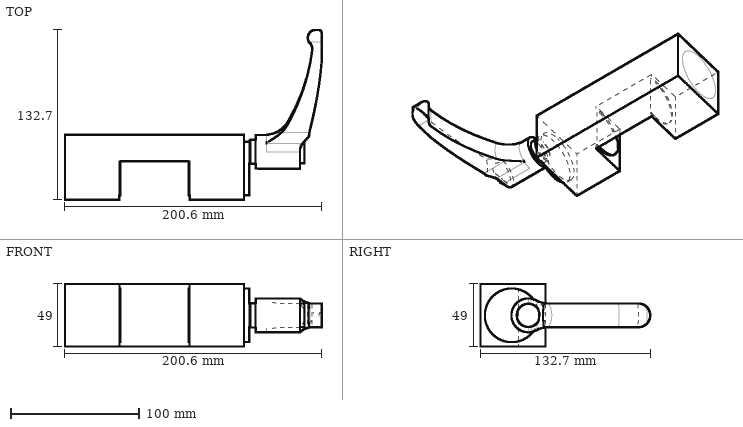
import cadquery as cq
import math


jaw_length = 42.5
slot_width = 55.0
block_length = 2 * jaw_length + slot_width
block_depth = 51.0
block_height = 49.0
slot_depth = 30.0

pad_diameter = 42.0
pad_axis_y = block_height / 2
pad_into_slot = 1.1
pad_past_block = 4.0

lever_axis_y = 37.5
hub_radius = 13.25
collar_radius = 19.0 / 2
collar_chamfer = 0.8
cap_radius = 9.1
cap_edge_radius = 0.7
collar_length = 4.9
hub_length = 34.7
cap_length = 3.6
lever_start = block_length + pad_past_block
hub_start = lever_start + collar_length
hub_end = hub_start + hub_length
cap_end = hub_end + cap_length

lever_tip_y = 132.7
lever_reach = lever_tip_y - lever_axis_y
lever_tip_x = 200.61
arm_thickness = 18.7
arm_half = arm_thickness / 2
arm_blend_radius = 18.0

inner_blend_start = 8.6
inner_blend_mid = (17.2, 15.8)
inner_blend_end = (24.9, 23.0)
inner_curve_mid = (38.0, 51.8)
neck = (44.2, 79.8)
neck_bend_mid = (43.7, 83.2)
lobe_start = (41.6, 86.0)
lobe_mid = (41.0, 91.0)
lobe_end = (46.5, lever_reach)
tip_corner_radius = 2.5
straight_back_start = 71.0
back_curve_mid = (48.4, 45.5)
back_curve_end = (42.3, 18.3)
back_foot = 39.5

shoulder_root = (37.0, 6.8)
shoulder_slope = 1.1
root_curve_mid = (35.6, 4.6)
root_curve_start = 2.0
slab_margin = 2.0
slab_reach = lever_reach + slab_margin
slab_length = lever_tip_x - hub_start + slab_margin


def x_cylinder(start, end, radius, axis_y):
    """Solid cylinder parallel to X at mid-height."""
    return (
        cq.Workplane("YZ", origin=(start, axis_y, 0))
        .circle(radius)
        .extrude(end - start)
    )


def make_block():
    """U-shaped block joined to its two jaw pads."""
    block = cq.Workplane("XY").box(block_length, block_depth, block_height, centered=(False, False, True))
    slot = (
        cq.Workplane("XY")
        .box(slot_width, slot_depth, block_height, centered=(False, False, True))
        .translate((jaw_length, 0, 0))
    )
    block = block.cut(slot)
    pad_radius = pad_diameter / 2
    left_pad = x_cylinder(0, jaw_length + pad_into_slot, pad_radius, pad_axis_y)
    right_pad = x_cylinder(
        block_length - jaw_length - pad_into_slot, block_length + pad_past_block, pad_radius, pad_axis_y
    )
    return block.union(right_pad).union(left_pad, clean=False)


def section_point(point):
    """Section point (X from hub start, R from lever axis) in part coordinates."""
    return (hub_start + point[0], lever_axis_y + point[1])


def make_arm_ring():
    """Arm section swept around the lever axis, which crowns the arm's inner and outer sides."""
    lever_tip = lever_tip_x - hub_start
    corner_inset = tip_corner_radius * (1 - math.sqrt(0.5))
    return (
        cq.Workplane("XY")
        .moveTo(*section_point((inner_blend_start, 0)))
        .lineTo(*section_point((inner_blend_start, hub_radius)))
        .threePointArc(section_point(inner_blend_mid), section_point(inner_blend_end))
        .threePointArc(section_point(inner_curve_mid), section_point(neck))
        .threePointArc(section_point(neck_bend_mid), section_point(lobe_start))
        .threePointArc(section_point(lobe_mid), section_point(lobe_end))
        .lineTo(*section_point((lever_tip - tip_corner_radius, lever_reach)))
        .threePointArc(
            section_point((lever_tip - corner_inset, lever_reach - corner_inset)),
            section_point((lever_tip, lever_reach - tip_corner_radius)),
        )
        .lineTo(*section_point((lever_tip, straight_back_start)))
        .threePointArc(section_point(back_curve_mid), section_point(back_curve_end))
        .lineTo(*section_point((back_foot, 0)))
        .close()
        .revolve(360, (0, lever_axis_y, 0), (1, lever_axis_y, 0))
    )


def make_shoulder_slab():
    """Slab that trims the arm's root to a slanted shoulder running into the hub's end."""
    slant_end = shoulder_root[1] + (slab_length - shoulder_root[0]) * shoulder_slope
    return (
        cq.Workplane("XY", origin=(0, 0, -hub_radius))
        .moveTo(*section_point((0, 0)))
        .lineTo(*section_point((0, slab_reach)))
        .lineTo(*section_point((slab_length, slab_reach)))
        .lineTo(*section_point((slab_length, slant_end)))
        .lineTo(*section_point(shoulder_root))
        .threePointArc(section_point(root_curve_mid), section_point((hub_length, root_curve_start)))
        .lineTo(*section_point((hub_length, 0)))
        .close()
        .extrude(2 * hub_radius)
    )


def make_side_profile():
    """Lever outline in the YZ plane, extruded along X: hub circle, side blends, flat arm and full-round tip."""
    blend_center_z = arm_half + arm_blend_radius
    blend_end = math.sqrt((hub_radius + arm_blend_radius) ** 2 - blend_center_z**2)
    touch_ratio = hub_radius / (hub_radius + arm_blend_radius)
    touch_y = blend_end * touch_ratio
    touch_z = blend_center_z * touch_ratio
    half_angle = math.atan2(blend_end - touch_y, blend_center_z - touch_z) / 2
    blend_mid_y = blend_end - arm_blend_radius * math.sin(half_angle)
    blend_mid_z = blend_center_z - arm_blend_radius * math.cos(half_angle)
    round_start = lever_reach - arm_half
    return (
        cq.Workplane("YZ", origin=(hub_start, lever_axis_y, 0))
        .moveTo(touch_y, touch_z)
        .threePointArc((blend_mid_y, blend_mid_z), (blend_end, arm_half))
        .lineTo(round_start, arm_half)
        .threePointArc((lever_reach, 0), (round_start, -arm_half))
        .lineTo(blend_end, -arm_half)
        .threePointArc((blend_mid_y, -blend_mid_z), (touch_y, -touch_z))
        .threePointArc((-hub_radius, 0), (touch_y, touch_z))
        .close()
        .extrude(lever_tip_x - hub_start)
    )


def make_lever():
    """Lever arm with its hub, collar and end cap."""
    arm = make_arm_ring().intersect(make_side_profile()).intersect(make_shoulder_slab())
    hub = x_cylinder(hub_start, hub_end, hub_radius, lever_axis_y)
    collar = x_cylinder(lever_start, hub_start, collar_radius, lever_axis_y)
    collar = collar.faces("<X").chamfer(collar_chamfer)
    cap = x_cylinder(hub_end, cap_end, cap_radius, lever_axis_y)
    cap = cap.faces(">X").edges().fillet(cap_edge_radius)
    return hub.union(arm).union(collar).union(cap)


block = make_block()
lever = make_lever()

result = cq.Compound.makeCompound([block.solids().val(), lever.solids().val()])